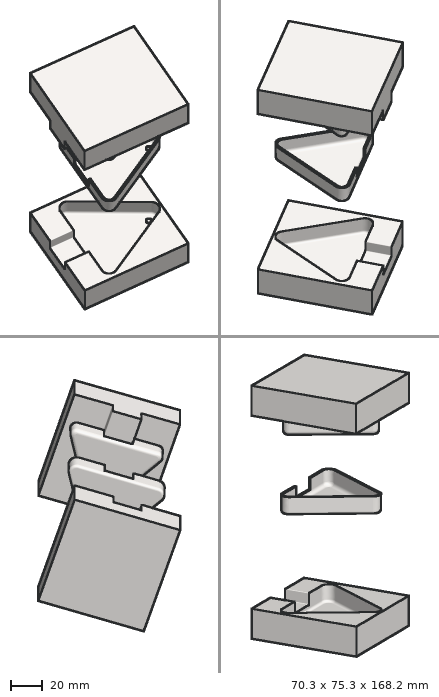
import cadquery as cq
import math

BLOCK_X = 70.0
BLOCK_Y = 75.0
BLOCK_Z = 20.0
TOTAL_HEIGHT = 168.2
COVER_UNDERSIDE_Z = TOTAL_HEIGHT - BLOCK_Z
COVER_TURN = -0.24

CORNER_SPACING = 52.8
CORNER_RADIUS = 5.2
FRONT_MARGIN = 17.2
DRAFT = 0.8
FRONT_CORNER_Y = -BLOCK_Y / 2 + FRONT_MARGIN + CORNER_RADIUS
BACK_CORNER_Y = FRONT_CORNER_Y + CORNER_SPACING * math.sqrt(3) / 2

TRAY_RIM_Z = 96.9
TRAY_DEPTH = 12.0
TRAY_EDGE_FILLET = 1.8
WALL = 1.2
FLOOR = 0.8

PLUG_DEPTH = TRAY_DEPTH - FLOOR
PLUG_CORNER_RADIUS = CORNER_RADIUS - WALL
PLUG_EDGE_FILLET = 2.7

CHANNEL_WIDTH = 18.8
CHANNEL_DEPTH = 7.7
TONGUE_DEPTH = 8.2
CHANNEL_ROUND = 0.5

POST_DIAMETER = 3.4
POST_TO_CORNER_CENTRE = 2.0
POST_Y = BACK_CORNER_Y - POST_TO_CORNER_CENTRE


def rounded_triangle(top_z, depth, corner_radius, edge_fillet):
    """Drafted triangular prism that hangs down from top_z, its bottom edge rounded."""
    corners = [
        (-CORNER_SPACING / 2, FRONT_CORNER_Y),
        (CORNER_SPACING / 2, FRONT_CORNER_Y),
        (0, BACK_CORNER_Y),
    ]
    prism = (
        cq.Workplane("XY", origin=(0, 0, top_z))
        .polyline(corners)
        .close()
        .offset2D(corner_radius)
        .extrude(-depth, taper=DRAFT)
    )
    return prism.faces("<Z").edges().fillet(edge_fillet)


def channel_bar(top_z, depth):
    """Bar along Y from the block front into the triangle, flared at its top and rounded at its bottom."""
    half_width = CHANNEL_WIDTH / 2
    half_floor = half_width - CHANNEL_ROUND
    half_mouth = half_width + CHANNEL_ROUND
    return (
        cq.Workplane("XZ", origin=(0, -BLOCK_Y / 2, top_z))
        .moveTo(-half_mouth, 0)
        .lineTo(half_mouth, 0)
        .radiusArc((half_width, -CHANNEL_ROUND), -CHANNEL_ROUND)
        .lineTo(half_width, CHANNEL_ROUND - depth)
        .radiusArc((half_floor, -depth), CHANNEL_ROUND)
        .lineTo(-half_floor, -depth)
        .radiusArc((-half_width, CHANNEL_ROUND - depth), CHANNEL_ROUND)
        .lineTo(-half_width, -CHANNEL_ROUND)
        .radiusArc((-half_mouth, 0), -CHANNEL_ROUND)
        .close()
        .extrude(-(FRONT_MARGIN + CORNER_RADIUS))
    )


def post(floor_z):
    """Round post as tall as the tray floor is thick."""
    return cq.Workplane("XY", origin=(0, POST_Y, floor_z)).circle(POST_DIAMETER / 2).extrude(FLOOR)


def block(bottom_z):
    return cq.Workplane("XY", origin=(0, 0, bottom_z)).rect(BLOCK_X, BLOCK_Y).extrude(BLOCK_Z)


def make_base():
    cavity = rounded_triangle(BLOCK_Z, TRAY_DEPTH, CORNER_RADIUS, TRAY_EDGE_FILLET)
    recessed = block(0).cut(cavity).cut(channel_bar(BLOCK_Z, CHANNEL_DEPTH))
    return recessed.union(post(BLOCK_Z - TRAY_DEPTH))


def make_tray():
    shell = rounded_triangle(TRAY_RIM_Z, TRAY_DEPTH, CORNER_RADIUS, TRAY_EDGE_FILLET)
    hollow = rounded_triangle(TRAY_RIM_Z, PLUG_DEPTH, PLUG_CORNER_RADIUS, PLUG_EDGE_FILLET)
    notched = shell.cut(hollow).cut(channel_bar(TRAY_RIM_Z, CHANNEL_DEPTH))
    return notched.cut(post(TRAY_RIM_Z - TRAY_DEPTH))


def make_cover():
    plug = rounded_triangle(COVER_UNDERSIDE_Z, PLUG_DEPTH, PLUG_CORNER_RADIUS, PLUG_EDGE_FILLET)
    tongue = channel_bar(COVER_UNDERSIDE_Z, TONGUE_DEPTH)
    cover = block(COVER_UNDERSIDE_Z).union(plug).union(tongue)
    return cover.rotate((0, 0, 0), (0, 0, 1), COVER_TURN)


base = make_base()
tray = make_tray()
cover = make_cover()

result = cq.Compound.makeCompound([base.val(), tray.val(), cover.val()])